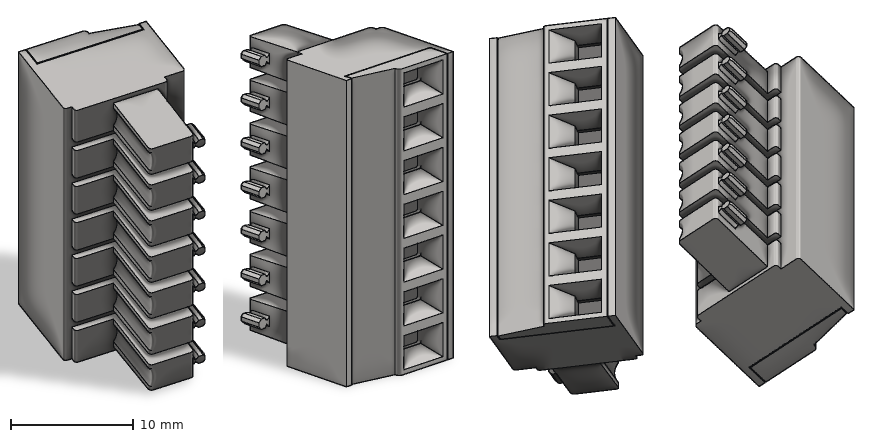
import cadquery as cq

LENGTH = 15.5
WIDTH = 11.1
HEIGHT = 26.67
WAYS = 7
PITCH = HEIGHT / WAYS

BLOCK_DEPTH = 8.3
BLOCK_RADIUS = 0.27
LIP_X = 1.2
SLOPE_TOP_X = 1.3
SLOPE_BOTTOM_X = 0.48
STEP_Y = 6.21
STEP_RADIUS = 0.35

INSERT_DEPTH = 1.97
GROOVE_WIDTH = 0.08
INSERT_Y_MIN = 0.72
INSERT_Y_MAX = 10.37
END_GROOVE_DEPTH = 0.13

COLLAR_X = 8.9
COLLAR_Y_MIN = 0.7
COLLAR_Y_MAX = 9.2
COLLAR_RADIUS = 0.27
COLLAR_HEIGHT = 2.9

PIN_Y_MIN = 4.2
PIN_Y_MAX = 8.27
PIN_TIP_HEIGHT = 2.7
PIN_RADIUS = 0.32
FLUTE_DIAMETER = 2.8
FLUTE_CHORD = 1.81

RIB_X_MIN = 13.01
RIB_X_MAX = 15.18
RIB_HEIGHT = 1.23
RIB_HALF_WIDTH = 0.45
RIB_NECK_HALF_WIDTH = 0.2
RIB_NECK_HEIGHT = 0.3
RIB_CHAMFER = 0.27
RIB_LEAD_LENGTH = 0.27
RIB_LEAD_SHRINK = 0.08
RIB_ROOT = 0.13

FUNNEL_Y_MIN = 1.2
FUNNEL_Y_MAX = 5.68
FUNNEL_HEIGHT = 2.95
FUNNEL_DEPTH = 2.45
FLOOR_Y_MIN = 1.3
FLOOR_Y_MAX = 3.97
FLOOR_HEIGHT = 1.87
WELL_DEPTH = 0.4
WELL_HEIGHT = 1.81
WELL_RADIUS = 0.21
RAMP_DEPTH = 1.81


def box(x_range, y_range, z_range):
    """Box between the given limits."""
    sizes = [high - low for low, high in (x_range, y_range, z_range)]
    corner = (x_range[0], y_range[0], z_range[0])
    return cq.Workplane("XY").box(*sizes, centered=False).translate(corner)


def make_housing():
    outline = [
        (0, 0),
        (BLOCK_DEPTH, 0),
        (BLOCK_DEPTH, WIDTH),
        (LIP_X, WIDTH),
        (LIP_X, INSERT_Y_MAX + GROOVE_WIDTH),
        (SLOPE_TOP_X, INSERT_Y_MAX),
        (SLOPE_BOTTOM_X, STEP_Y),
        (0, STEP_Y),
    ]
    block = cq.Workplane("XY").polyline(outline).close().extrude(HEIGHT)
    block = block.edges("|Z and >X").fillet(BLOCK_RADIUS)
    shoulder = cq.selectors.NearestToPointSelector((0, STEP_Y, HEIGHT / 2))
    return block.edges(shoulder).fillet(STEP_RADIUS)


def make_insert_grooves():
    """Slots along both sides of the insert and a shallow groove behind it at each end."""
    back = INSERT_DEPTH + GROOVE_WIDTH
    low_slot = (INSERT_Y_MIN - GROOVE_WIDTH, INSERT_Y_MIN)
    high_slot = (INSERT_Y_MAX, INSERT_Y_MAX + GROOVE_WIDTH)
    grooves = box((0, back), low_slot, (0, HEIGHT))
    grooves = grooves.union(box((0, back), high_slot, (0, HEIGHT)))
    for z_min in (0, HEIGHT - END_GROOVE_DEPTH):
        z_range = (z_min, z_min + END_GROOVE_DEPTH)
        grooves = grooves.union(box((INSERT_DEPTH, back), (INSERT_Y_MIN, INSERT_Y_MAX), z_range))
    return grooves


def make_collar():
    """Full-height collar, slotted between neighbouring ways."""
    root_x = BLOCK_DEPTH - BLOCK_RADIUS
    collar = box((root_x, COLLAR_X), (COLLAR_Y_MIN, COLLAR_Y_MAX), (0, HEIGHT))
    collar = collar.edges("|Z and >X").fillet(COLLAR_RADIUS)
    half_gap = (PITCH - COLLAR_HEIGHT) / 2
    for way in range(1, WAYS):
        z = way * PITCH
        gap = box((BLOCK_DEPTH, COLLAR_X), (0, WIDTH), (z - half_gap, z + half_gap))
        collar = collar.cut(gap)
    return collar


def make_pin():
    """Tapered pin with a fluted -Y face, centred on Z = 0."""
    half_root = COLLAR_HEIGHT / 2
    half_tip = PIN_TIP_HEIGHT / 2
    root_x = BLOCK_DEPTH
    profile = [
        (root_x, -half_root),
        (COLLAR_X, -half_root),
        (LENGTH, -half_tip),
        (LENGTH, half_tip),
        (COLLAR_X, half_root),
        (root_x, half_root),
    ]
    pin = cq.Workplane("XZ", origin=(0, PIN_Y_MIN, 0)).polyline(profile).close()
    pin = pin.extrude(PIN_Y_MIN - PIN_Y_MAX)
    pin = pin.edges("|Z and >X and >Y").fillet(PIN_RADIUS)

    radius = FLUTE_DIAMETER / 2
    axis_offset = (radius**2 - (FLUTE_CHORD / 2) ** 2) ** 0.5
    flute = (
        cq.Workplane("YZ", origin=(COLLAR_X, PIN_Y_MIN - axis_offset, 0))
        .circle(radius)
        .extrude(LENGTH - COLLAR_X)
    )
    pin = pin.cut(flute)
    margin = 0.03
    flute_depth = radius - axis_offset
    fluted_tip = cq.selectors.BoxSelector(
        (LENGTH - margin, PIN_Y_MIN - margin, -half_tip),
        (LENGTH + margin, PIN_Y_MIN + flute_depth + margin, half_tip),
    )
    pin = pin.edges(fluted_tip).fillet(PIN_RADIUS)
    return pin.union(make_rib())


def rib_outline(x, shrink):
    """Closed rib cross-section at the given X, drawn in from its flanks and top by shrink."""
    half_width = RIB_HALF_WIDTH - shrink
    neck_half_width = RIB_NECK_HALF_WIDTH - shrink
    neck_y = PIN_Y_MAX + RIB_NECK_HEIGHT
    shoulder_y = neck_y + half_width - neck_half_width
    top_y = PIN_Y_MAX + RIB_HEIGHT - shrink
    chamfer = RIB_CHAMFER - shrink
    flank = [
        (PIN_Y_MAX - RIB_ROOT, half_width),
        (PIN_Y_MAX, half_width),
        (neck_y, neck_half_width),
        (shoulder_y, half_width),
        (top_y - chamfer, half_width),
        (top_y, half_width - chamfer),
    ]
    mirrored = [(y, -z) for y, z in reversed(flank)]
    return cq.Workplane("YZ", origin=(x, 0, 0)).polyline(flank + mirrored).close()


def make_rib():
    """Necked rib with chamfered top edges and a tapered lead-in."""
    lead_x = RIB_X_MAX - RIB_LEAD_LENGTH
    rib = rib_outline(RIB_X_MIN, 0).extrude(lead_x - RIB_X_MIN)
    lead_ends = [
        rib_outline(lead_x, 0).val(),
        rib_outline(RIB_X_MAX, RIB_LEAD_SHRINK).val(),
    ]
    lead = cq.Solid.makeLoft(lead_ends, True)
    return rib.union(cq.Workplane(lead))


def make_funnel():
    """Wire entry pocket centred on Z = 0: a funnel whose +Y wall turns straight, and a well."""
    side = [
        (0, FUNNEL_Y_MIN),
        (FUNNEL_DEPTH, FLOOR_Y_MIN),
        (FUNNEL_DEPTH, FLOOR_Y_MAX),
        (RAMP_DEPTH, FLOOR_Y_MAX),
        (0, FUNNEL_Y_MAX),
    ]
    half_mouth = FUNNEL_HEIGHT / 2
    half_floor = FLOOR_HEIGHT / 2
    plan = [
        (0, -half_mouth),
        (FUNNEL_DEPTH, -half_floor),
        (FUNNEL_DEPTH, half_floor),
        (0, half_mouth),
    ]
    wedge = cq.Workplane("XZ").polyline(plan).close().extrude(-WIDTH)
    prism = cq.Workplane("XY", origin=(0, 0, -half_mouth)).polyline(side).close()
    funnel = prism.extrude(FUNNEL_HEIGHT).intersect(wedge)

    half_well = WELL_HEIGHT / 2
    well_x = (FUNNEL_DEPTH, FUNNEL_DEPTH + WELL_DEPTH)
    well = box(well_x, (FLOOR_Y_MIN, FLOOR_Y_MAX), (-half_well, half_well))
    well = well.edges("|X and <Y").fillet(WELL_RADIUS)
    return funnel.union(well)


body = make_housing().cut(make_insert_grooves()).union(make_collar())
pin = make_pin()
funnel = make_funnel()
for way in range(WAYS):
    offset = (0, 0, (way + 0.5) * PITCH)
    body = body.union(pin.translate(offset)).cut(funnel.translate(offset))

result = body